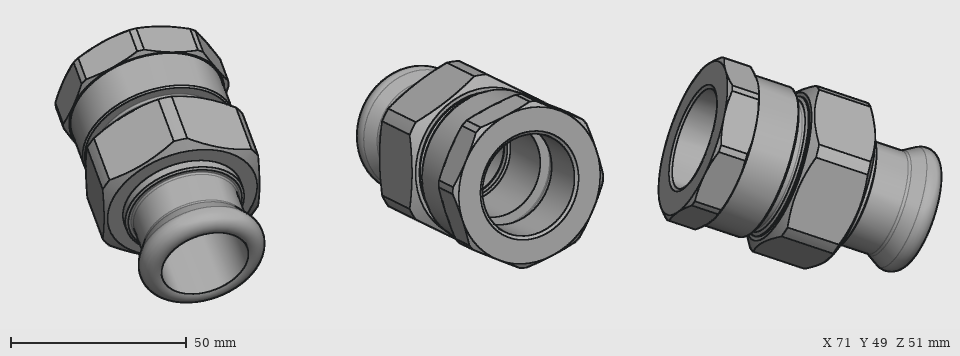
import cadquery as cq
import math

LENGTH = 71.0
CHAMFER_TAN = math.tan(math.radians(30))
QUARTER_ROUND_SHARE = 1 - math.sqrt(0.5)

WRENCH_FLATS = 46.0
OCTAGON_SIDES = 8
OCTAGON_LENGTH = 10.0
OCTAGON_CORNER_RADIUS = 24.5
OCTAGON_FACE_RADIUS = WRENCH_FLATS / 2
OCTAGON_TURN = 3.7
SLEEVE_RADIUS = 22.6
SLEEVE_END = 22.9
SLEEVE_CHAMFER = 0.5
UNDERCUT_RADIUS = 19.0
UNDERCUT_FILLET = 0.6
THREAD_RADIUS = 20.95
THREAD_START = 25.9
THREAD_LEAD_LENGTH = 0.6
THREAD_LEAD_HEIGHT = 1.1
THREAD_END = 36.6
SOCKET_RADIUS = 15.0
SOCKET_DEPTH = 19.0
RELIEF_START = 14.0
RELIEF_RADIUS = 17.2
RELIEF_FILLET = 0.2
SOCKET_MOUTH_RADIUS = 16.0
SOCKET_MOUTH_DEPTH = 0.6
BODY_BORE_RADIUS = 14.05

GASKET_THICKNESS = 1.8
GASKET_BORE_RADIUS = 13.05

NUT_SIDES = 6
NUT_TURN = 90.0
NUT_START = 26.9
NUT_END = 47.0
NUT_CORNER_RADIUS = 25.5
NUT_FACE_RADIUS = 22.15
NUT_WALL = 2.85

TAIL_BORE_RADIUS = 12.85
FLANGE_RADIUS = 19.9
COLLAR_RADIUS = 17.6
COLLAR_END = 49.9
COLLAR_CHAMFER_LENGTH = 0.4
COLLAR_CHAMFER_HEIGHT = 0.8
TUBE_RADIUS = 15.55
TUBE_FILLET = 0.5
BEAD_ARC_RADIUS = 4.0
BEAD_RADIUS = 18.5
FLARE_ANGLE = math.radians(30)
FLARE_BEND_RADIUS = 1.8

gasket_end = THREAD_END + GASKET_THICKNESS
nut_shoulder = NUT_END - NUT_WALL


def turned(outline):
    """Revolve an (x, radius) outline about the X axis."""
    return outline.close().revolve(360, (0, 0, 0), (1, 0, 0))


def cylinder(start, end, radius):
    """Solid cylinder along X."""
    return cq.Workplane("YZ", origin=(start, 0, 0)).circle(radius).extrude(end - start)


def wrench_prism(sides, start, end, corner_radius, face_radius, turn):
    """Polygonal bar with corners rounded to corner_radius and chamfered down to face_radius at both ends."""
    across_corners = WRENCH_FLATS / math.cos(math.pi / sides)
    bar = (
        cq.Workplane("YZ", origin=(start, 0, 0))
        .polygon(sides, across_corners)
        .extrude(end - start)
        .rotate((0, 0, 0), (1, 0, 0), turn)
    )
    chamfer_length = (corner_radius - face_radius) * CHAMFER_TAN
    envelope = turned(
        cq.Workplane("XY")
        .moveTo(start, 0)
        .lineTo(start, face_radius)
        .lineTo(start + chamfer_length, corner_radius)
        .lineTo(end - chamfer_length, corner_radius)
        .lineTo(end, face_radius)
        .lineTo(end, 0)
    )
    return bar.intersect(envelope)


def make_sleeve_and_thread():
    """Turned outside of the threaded body, behind the octagon."""
    bulge = UNDERCUT_FILLET * QUARTER_ROUND_SHARE
    return turned(
        cq.Workplane("XY")
        .moveTo(OCTAGON_LENGTH, 0)
        .lineTo(OCTAGON_LENGTH, SLEEVE_RADIUS)
        .lineTo(SLEEVE_END - SLEEVE_CHAMFER, SLEEVE_RADIUS)
        .lineTo(SLEEVE_END, SLEEVE_RADIUS - SLEEVE_CHAMFER)
        .lineTo(SLEEVE_END, UNDERCUT_RADIUS + UNDERCUT_FILLET)
        .threePointArc(
            (SLEEVE_END + bulge, UNDERCUT_RADIUS + bulge),
            (SLEEVE_END + UNDERCUT_FILLET, UNDERCUT_RADIUS),
        )
        .lineTo(THREAD_START - UNDERCUT_FILLET, UNDERCUT_RADIUS)
        .threePointArc(
            (THREAD_START - bulge, UNDERCUT_RADIUS + bulge),
            (THREAD_START, UNDERCUT_RADIUS + UNDERCUT_FILLET),
        )
        .lineTo(THREAD_START, THREAD_RADIUS - THREAD_LEAD_HEIGHT)
        .lineTo(THREAD_START + THREAD_LEAD_LENGTH, THREAD_RADIUS)
        .lineTo(THREAD_END, THREAD_RADIUS)
        .lineTo(THREAD_END, 0)
    )


def make_body_bore():
    """Chamfered socket with a wider relief at its bottom, then the through bore."""
    bulge = RELIEF_FILLET * QUARTER_ROUND_SHARE
    return turned(
        cq.Workplane("XY")
        .moveTo(0, 0)
        .lineTo(0, SOCKET_MOUTH_RADIUS)
        .lineTo(SOCKET_MOUTH_DEPTH, SOCKET_RADIUS)
        .lineTo(RELIEF_START, SOCKET_RADIUS)
        .lineTo(RELIEF_START, RELIEF_RADIUS)
        .lineTo(SOCKET_DEPTH - RELIEF_FILLET, RELIEF_RADIUS)
        .threePointArc(
            (SOCKET_DEPTH - bulge, RELIEF_RADIUS - bulge),
            (SOCKET_DEPTH, RELIEF_RADIUS - RELIEF_FILLET),
        )
        .lineTo(SOCKET_DEPTH, BODY_BORE_RADIUS)
        .lineTo(THREAD_END, BODY_BORE_RADIUS)
        .lineTo(THREAD_END, 0)
    )


def make_body():
    octagon = wrench_prism(
        OCTAGON_SIDES, 0, OCTAGON_LENGTH, OCTAGON_CORNER_RADIUS, OCTAGON_FACE_RADIUS, OCTAGON_TURN
    )
    return octagon.union(make_sleeve_and_thread()).cut(make_body_bore())


def make_gasket():
    disc = cylinder(THREAD_END, gasket_end, FLANGE_RADIUS)
    return disc.cut(cylinder(THREAD_END, gasket_end, GASKET_BORE_RADIUS))


def make_nut():
    hexagon = wrench_prism(NUT_SIDES, NUT_START, NUT_END, NUT_CORNER_RADIUS, NUT_FACE_RADIUS, NUT_TURN)
    thread_bore = cylinder(NUT_START, nut_shoulder, THREAD_RADIUS)
    collar_hole = cylinder(NUT_START, NUT_END, COLLAR_RADIUS)
    return hexagon.cut(thread_bore).cut(collar_hole)


def make_tailpiece():
    sine = math.sin(FLARE_ANGLE)
    cosine = math.cos(FLARE_ANGLE)

    bead_x = LENGTH - BEAD_ARC_RADIUS
    bead_r = BEAD_RADIUS - BEAD_ARC_RADIUS
    bead_end_x = bead_x + math.sqrt(BEAD_ARC_RADIUS**2 - (bead_r - TAIL_BORE_RADIUS) ** 2)

    flare_end_x = bead_x - BEAD_ARC_RADIUS * sine
    flare_end_r = bead_r + BEAD_ARC_RADIUS * cosine
    flare_start_r = TUBE_RADIUS + FLARE_BEND_RADIUS * (1 - cosine)
    flare_start_x = flare_end_x - (flare_end_r - flare_start_r) / math.tan(FLARE_ANGLE)
    bend_start_x = flare_start_x - FLARE_BEND_RADIUS * sine
    bend_middle_x = bend_start_x + FLARE_BEND_RADIUS * math.sin(FLARE_ANGLE / 2)
    bend_middle_r = TUBE_RADIUS + FLARE_BEND_RADIUS * (1 - math.cos(FLARE_ANGLE / 2))

    bulge = TUBE_FILLET * QUARTER_ROUND_SHARE
    return turned(
        cq.Workplane("XY")
        .moveTo(gasket_end, TAIL_BORE_RADIUS)
        .lineTo(gasket_end, FLANGE_RADIUS)
        .lineTo(nut_shoulder, FLANGE_RADIUS)
        .lineTo(nut_shoulder, COLLAR_RADIUS)
        .lineTo(COLLAR_END - COLLAR_CHAMFER_LENGTH, COLLAR_RADIUS)
        .lineTo(COLLAR_END, COLLAR_RADIUS - COLLAR_CHAMFER_HEIGHT)
        .lineTo(COLLAR_END, TUBE_RADIUS + TUBE_FILLET)
        .threePointArc(
            (COLLAR_END + bulge, TUBE_RADIUS + bulge),
            (COLLAR_END + TUBE_FILLET, TUBE_RADIUS),
        )
        .lineTo(bend_start_x, TUBE_RADIUS)
        .threePointArc((bend_middle_x, bend_middle_r), (flare_start_x, flare_start_r))
        .lineTo(flare_end_x, flare_end_r)
        .threePointArc((bead_x, BEAD_RADIUS), (bead_end_x, TAIL_BORE_RADIUS))
    )


body = make_body()
gasket = make_gasket()
nut = make_nut()
tailpiece = make_tailpiece()
bodies = [part.solids().val() for part in (body, gasket, nut, tailpiece)]
result = cq.Compound.makeCompound(bodies)